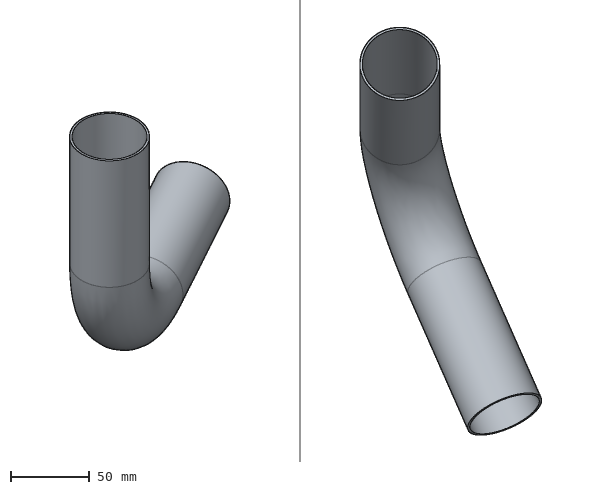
import cadquery as cq

outer_diameter = 50.8
inner_diameter = 47.6
overall_length = 203.2
leg_length = 101.6
bend_angle = 90
bend_radius = overall_length - leg_length - outer_diameter / 2


def ring(plane):
    """Tube cross-section centred on the given plane."""
    return cq.Workplane(plane).circle(outer_diameter / 2).circle(inner_diameter / 2)


vertical_leg = ring("XY").extrude(leg_length)

bend = ring("XY").revolve(bend_angle, (0, bend_radius, 0), (1, bend_radius, 0))

horizontal_plane = cq.Plane(
    origin=(0, bend_radius, -bend_radius), xDir=(1, 0, 0), normal=(0, 1, 0)
)
horizontal_leg = ring(horizontal_plane).extrude(leg_length)

result = vertical_leg.union(bend).union(horizontal_leg)